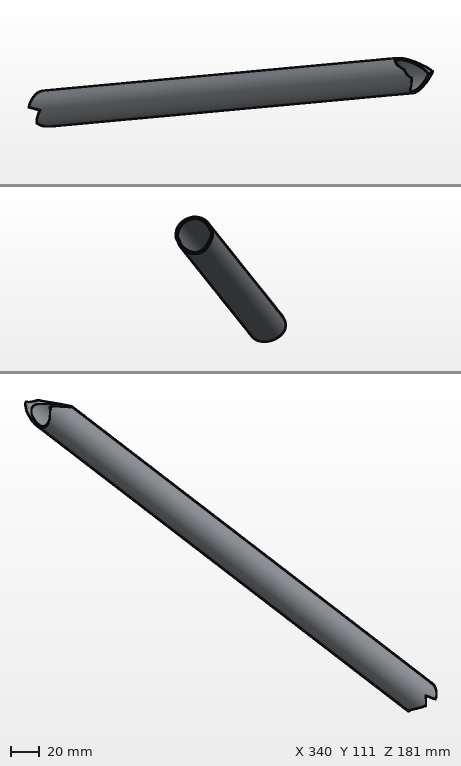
import cadquery as cq
import math

TUBE_DIAMETER = 25.4
WALL = 1.5
AXIS_DIRECTION = cq.Vector(1.0, 0.2653, 0.5069).normalized()
AXIS_CENTRE = cq.Vector(0.0, 0.0, 2.1)

NEIGHBOUR_RADIUS = TUBE_DIAMETER / 2
NEIGHBOUR_LENGTH = 120.0
WASTE_WIDTH = 2 * TUBE_DIAMETER

BLANK_HALF_LENGTH = 215.0
UPPER_NODE = 192.56

UPPER_NEIGHBOURS = [
    (UPPER_NODE, 70.75, -35.8, -0.38),
    (UPPER_NODE, 88.75, 3.9, -0.25),
]
LOWER_NEIGHBOURS = [
    (-198.44, 80.3, -9.8, -2.62),
    (-200.99, 77.7, -3.6, 3.91),
]

NOTCH_APEX_ANGLE = 163.0
NOTCH_APEX_STATION = -180.6
NOTCH_FLANKS = [(78.6, 0.956), (253.0, 4.0)]
NOTCH_BLOCK = 160.0


def around_axis(angle, radius=1.0, station=0.0):
    """Point in the tube frame, whose Z runs along the tube axis."""
    turn = math.radians(angle)
    return cq.Vector(radius * math.cos(turn), radius * math.sin(turn), station)


def tube_blank():
    return (
        cq.Workplane("XY")
        .workplane(offset=-BLANK_HALF_LENGTH)
        .circle(TUBE_DIAMETER / 2)
        .circle(TUBE_DIAMETER / 2 - WALL)
        .extrude(2 * BLANK_HALF_LENGTH)
    )


def neighbour(station, azimuth, tilt, offset):
    """Neighbouring tube as a solid bar, together with the waste beyond it."""
    lean = math.radians(tilt)
    direction = around_axis(azimuth) * math.cos(lean) + cq.Vector(0, 0, math.sin(lean))
    centre = around_axis(azimuth + 90, offset, station)
    outward = cq.Vector(0, 0, math.copysign(1, station))
    bar_plane = cq.Plane(centre - direction * (NEIGHBOUR_LENGTH / 2), outward, direction)
    return (
        cq.Workplane(bar_plane)
        .circle(NEIGHBOUR_RADIUS)
        .extrude(NEIGHBOUR_LENGTH)
        .union(
            cq.Workplane(bar_plane)
            .center(NEIGHBOUR_LENGTH / 2, 0)
            .rect(NEIGHBOUR_LENGTH, WASTE_WIDTH)
            .extrude(NEIGHBOUR_LENGTH)
        )
    )


def below_flank(uphill, slope):
    """Block under a sloping plane through the notch apex."""
    apex = around_axis(NOTCH_APEX_ANGLE, TUBE_DIAMETER / 2, NOTCH_APEX_STATION)
    normal = cq.Vector(0, 0, 1) - around_axis(uphill) * slope
    flank_plane = cq.Plane(apex, around_axis(uphill + 90), normal)
    return cq.Workplane(flank_plane).rect(NOTCH_BLOCK, NOTCH_BLOCK).extrude(-NOTCH_BLOCK)


def rim_notch():
    """Wedge under both flanks, which crosses the whole tube."""
    first, second = NOTCH_FLANKS
    return below_flank(*first).intersect(below_flank(*second))


tube = tube_blank()
for placement in UPPER_NEIGHBOURS + LOWER_NEIGHBOURS:
    tube = tube.cut(neighbour(*placement))
tube = tube.cut(rim_notch())
body = max(tube.solids().vals(), key=lambda solid: solid.Volume())

level = cq.Vector(0, 0, 1).cross(AXIS_DIRECTION)
tube_frame = cq.Plane(AXIS_CENTRE, level, AXIS_DIRECTION)
result = cq.Workplane(obj=body.moved(cq.Location(tube_frame)))